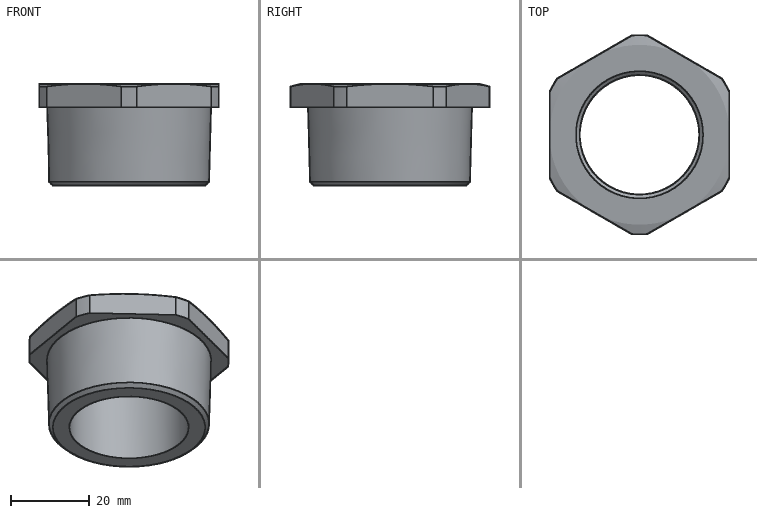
import cadquery as cq
import math

total_height = 26.0
head_height = 6.0
across_flats = 46.0
corner_diameter = 51.0
head_bevel_angle = 15.0

spigot_top_radius = 21.0
spigot_end_radius = 20.5
end_chamfer = 1.0

bore_radius = 15.25
bore_chamfer = 1.0

head_bottom = total_height - head_height
flat_radius = across_flats / 2
corner_radius = corner_diameter / 2


def revolve_profile(points):
    """Revolve a closed (radius, height) outline about the Z axis."""
    return cq.Workplane("XZ").polyline(points).close().revolve(360, (0, 0), (0, 1))


def make_head():
    """Hexagon with flats facing X, rounded corners and a bevelled top."""
    hexagon = (
        cq.Workplane("XY", origin=(0, 0, head_bottom))
        .polygon(6, across_flats / math.cos(math.pi / 6))
        .extrude(head_height)
        .rotate((0, 0, 0), (0, 0, 1), 30)
    )
    bevel_drop = (corner_radius - flat_radius) * math.tan(math.radians(head_bevel_angle))
    envelope = revolve_profile([
        (0, head_bottom),
        (corner_radius, head_bottom),
        (corner_radius, total_height - bevel_drop),
        (flat_radius, total_height),
        (0, total_height),
    ])
    return hexagon.intersect(envelope)


def make_spigot():
    """Slightly tapered round body with a chamfered lower end."""
    return revolve_profile([
        (0, 0),
        (spigot_end_radius - end_chamfer, 0),
        (spigot_end_radius, end_chamfer),
        (spigot_top_radius, head_bottom),
        (0, head_bottom),
    ])


def make_bore():
    """Through bore with a chamfered mouth at the top."""
    return revolve_profile([
        (0, 0),
        (bore_radius, 0),
        (bore_radius, total_height - bore_chamfer),
        (bore_radius + bore_chamfer, total_height),
        (0, total_height),
    ])


result = make_head().union(make_spigot()).cut(make_bore())